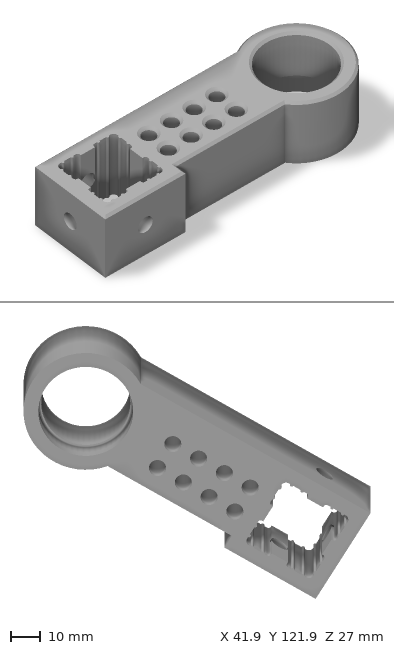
import cadquery as cq

length = 121.9
height = 27.0
ring_diameter = 41.9
bore_diameter = 30.0
edge_chamfer = 1.0

seat_diameter = 32.0
seat_depth = 7.9

block_side = 35.8
arm_right = 13.0
front_y = ring_diameter / 2 - length
block_y = front_y + block_side / 2

pocket_side = 26.0
pocket_corner_radius = 1.8
pad_width = 6.3
pad_depth = 1.5
pad_root_radius = 1.0
rib_radius = 0.6
rib_offsets = (5.9, 10.0)
screw_diameter = 6.6

hole_diameter = 5.7
hole_chamfer = 1.1
hole_spacing_x = 10.0
hole_spacing_y = 10.1
hole_columns = 2
hole_rows = 4
hole_grid_y = -46.3


def vertical_cylinder(diameter, x=0, y=0, depth=height):
    return cq.Workplane("XY").center(x, y).circle(diameter / 2).extrude(depth)


def make_body():
    left = -block_side / 2
    block_top = front_y + block_side
    arm_outline = [
        (left, 0),
        (left, front_y),
        (-left, front_y),
        (-left, block_top),
        (arm_right, block_top),
        (arm_right, 0),
    ]
    arm = cq.Workplane("XY").polyline(arm_outline).close().extrude(height)
    body = arm.union(vertical_cylinder(ring_diameter))
    return body.faces(">Z").chamfer(edge_chamfer)


def chamfered_hole(diameter, chamfer, x=0, y=0):
    """Cutter for a through hole with a chamfered mouth on the top face."""
    radius = diameter / 2
    profile = [
        (0, 0),
        (radius, 0),
        (radius, height - chamfer),
        (radius + chamfer, height),
        (0, height),
    ]
    cutter = cq.Workplane("XZ").polyline(profile).close().revolve(360, (0, 0), (0, 1))
    return cutter.translate((x, y, 0))


def make_pocket():
    """Cutter for the square pocket, leaving pads and grip ribs on each wall."""
    pocket = cq.Workplane("XY").rect(pocket_side, pocket_side).extrude(height)
    pocket = pocket.edges("|Z").fillet(pocket_corner_radius)
    wall = pocket_side / 2
    half_pad = pad_width / 2
    flare = half_pad + pad_root_radius
    pad = (
        cq.Workplane("XY")
        .moveTo(-flare, wall)
        .radiusArc((-half_pad, wall - pad_root_radius), pad_root_radius)
        .lineTo(-half_pad, wall - pad_depth)
        .lineTo(half_pad, wall - pad_depth)
        .lineTo(half_pad, wall - pad_root_radius)
        .radiusArc((flare, wall), pad_root_radius)
        .close()
        .extrude(height)
    )
    wall_details = pad
    for offset in rib_offsets:
        for side in (-1, 1):
            wall_details = wall_details.union(vertical_cylinder(2 * rib_radius, side * offset, wall))
    for turn in range(4):
        pocket = pocket.cut(wall_details.rotate((0, 0, 0), (0, 0, 1), 90 * turn))
    return pocket.translate((0, block_y, 0))


def make_side_screw_hole():
    """Cutter crossing both side walls of the clamp block."""
    return (
        cq.Workplane("YZ", origin=(0, block_y, height / 2))
        .circle(screw_diameter / 2)
        .extrude(block_side, both=True)
    )


def make_front_screw_hole():
    """Cutter through the end wall, stopping inside the pocket."""
    return (
        cq.Workplane("XZ", origin=(0, block_y, height / 2))
        .circle(screw_diameter / 2)
        .extrude(block_side)
    )


result = make_body().cut(chamfered_hole(bore_diameter, edge_chamfer))
result = result.cut(vertical_cylinder(seat_diameter, depth=seat_depth))
for column in range(hole_columns):
    hole_x = (column - (hole_columns - 1) / 2) * hole_spacing_x
    for row in range(hole_rows):
        hole_y = hole_grid_y + (row - (hole_rows - 1) / 2) * hole_spacing_y
        result = result.cut(chamfered_hole(hole_diameter, hole_chamfer, hole_x, hole_y))
result = result.cut(make_pocket())
result = result.cut(make_side_screw_hole())
result = result.cut(make_front_screw_hole())